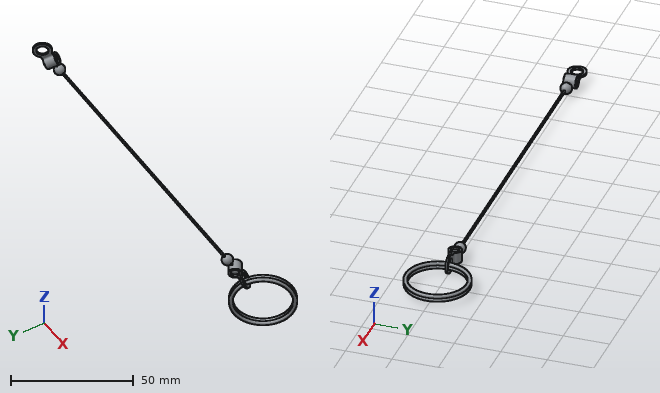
import cadquery as cq

total_length = 192.8
clasp_end = 168.1

cord_diameter = 0.9
ball_diameter = 4.8
end_ball_x = 11.4
stop_ball_x = 17.5

eye_diameter = 8.0
eye_hole_diameter = 5.0
strip_thickness = 0.9
barrel_diameter = 5.5
barrel_bore = barrel_diameter - 2 * strip_thickness
barrel_width = 5.2
neck_fillet = 0.8

ring_diameter = 28.0
ring_wire = 1.7
ring_height = 3.3
ring_x = total_length - ring_diameter / 2


def make_ball(x):
    return cq.Workplane("XY").sphere(ball_diameter / 2).translate((x, 0, 0))


def make_clasp():
    """Clasp with its eye starting at X = 0, flat in XY, and its barrel along Y."""
    eye_x = eye_diameter / 2
    eye = cq.Workplane("XY").center(eye_x, 0).circle(eye_diameter / 2).extrude(strip_thickness / 2, both=True)
    neck = cq.Workplane("XY").box(end_ball_x - eye_x, barrel_width, strip_thickness, centered=(False, True, True))
    neck = neck.translate((eye_x, 0, 0))
    eye_hole = (
        cq.Workplane("XY").center(eye_x, 0).circle(eye_hole_diameter / 2).extrude(strip_thickness, both=True)
    )
    barrel = (
        cq.Workplane("XZ").center(end_ball_x, 0).circle(barrel_diameter / 2).extrude(barrel_width / 2, both=True)
    )
    bore = cq.Workplane("XZ").center(end_ball_x, 0).circle(barrel_bore / 2).extrude(barrel_width, both=True)

    corner_x = end_ball_x - barrel_diameter / 2
    corner_span = cq.selectors.BoxSelector(
        (corner_x - strip_thickness, -strip_thickness, -strip_thickness),
        (corner_x + strip_thickness, strip_thickness, strip_thickness),
    )
    body = neck.union(barrel).edges("|Y").edges(corner_span).fillet(neck_fillet)
    return body.union(eye).cut(eye_hole).cut(bore)


def make_chain_end():
    return make_clasp().union(make_ball(end_ball_x)).union(make_ball(stop_ball_x))


def make_split_ring():
    wire_path_radius = (ring_diameter - ring_wire) / 2
    turn_offset = (ring_height - ring_wire) / 2
    ring = cq.Workplane("XY")
    for z in (-turn_offset, turn_offset):
        turn = cq.Solid.makeTorus(wire_path_radius, ring_wire / 2, cq.Vector(ring_x, 0, z))
        ring = ring.union(cq.Workplane(turn))
    return ring


near_end = make_chain_end()
far_end = (
    make_chain_end()
    .rotate((0, 0, 0), (0, 0, 1), 180)
    .rotate((0, 0, 0), (1, 0, 0), 90)
    .translate((clasp_end, 0, 0))
)
cord = (
    cq.Workplane("YZ", origin=(end_ball_x, 0, 0))
    .circle(cord_diameter / 2)
    .extrude(clasp_end - 2 * end_ball_x)
)

result = cord.union(near_end).union(far_end).union(make_split_ring())